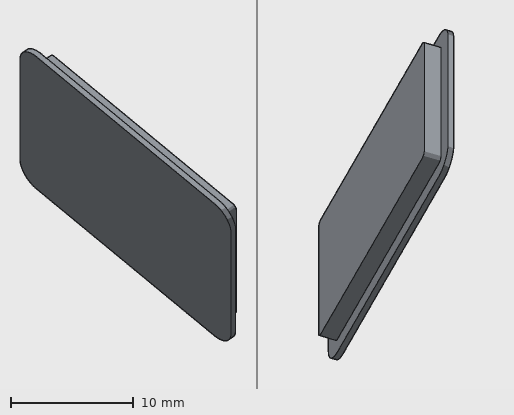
import cadquery as cq

plate_length = 25.5
plate_height = 16.5
plate_thickness = 0.5
plate_corner_radius = 2.0

total_depth = 2.0
plug_inset = 1.5
plug_length = plate_length - 2 * plug_inset
plug_height = plate_height - 2 * plug_inset
plug_corner_radius = plate_corner_radius - plug_inset


def rounded_slab(length, height, depth, corner_radius):
    """Slab centred in X and Z, from Y = 0 to Y = depth, with rounded corners."""
    return (
        cq.Workplane("XY")
        .box(length, depth, height, centered=(True, False, True))
        .edges("|Y")
        .fillet(corner_radius)
    )


plate = rounded_slab(plate_length, plate_height, plate_thickness, plate_corner_radius)
plug = rounded_slab(plug_length, plug_height, total_depth, plug_corner_radius)

result = plate.union(plug)